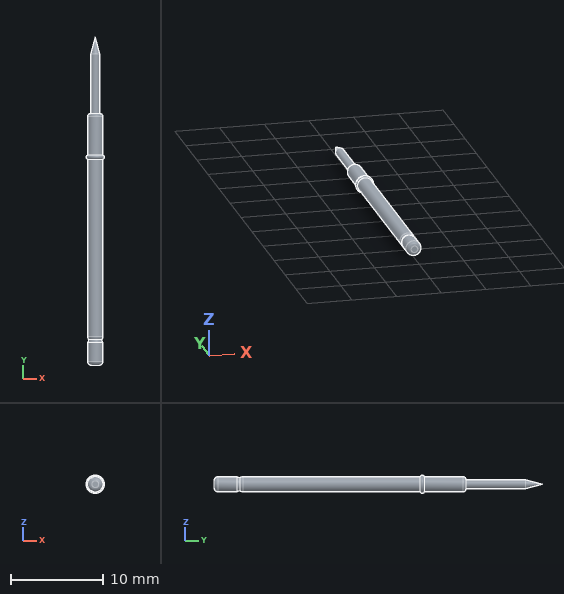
import cadquery as cq
import math

total_length = 35.7

barrel_radius = 0.84
barrel_length = 27.38
rear_fillet = 0.45
front_fillet = 0.32

groove_rear = 2.5
groove_bottom = 2.82
groove_front = 3.15
groove_depth = 0.1

ring_position = 22.65
ring_radius = 1.0
ring_bead_radius = 0.25

plunger_radius = 0.5
point_length = 1.85
overlap = 0.7


def sagitta_arc_middle(chord_length, rise):
    """Offsets, along and across the axis from the tangent point, of the middle of a
    circular arc that starts parallel to the axis and reaches (chord_length, rise)."""
    radius = (chord_length**2 + rise**2) / (2 * rise)
    half_angle = math.asin(chord_length / radius) / 2
    return radius * math.sin(half_angle), radius * (1 - math.cos(half_angle))


def revolve_about_y(profile):
    return profile.close().revolve(360, (0, 0, 0), (0, 1, 0))


def make_barrel():
    barrel = cq.Workplane("XZ").circle(barrel_radius).extrude(-barrel_length)
    barrel = barrel.faces("<Y").edges().fillet(rear_fillet)
    return barrel.faces(">Y").edges().fillet(front_fillet)


def make_groove_cutter():
    bottom_radius = barrel_radius - groove_depth
    rear_along, rear_across = sagitta_arc_middle(groove_bottom - groove_rear, groove_depth)
    front_along, front_across = sagitta_arc_middle(groove_front - groove_bottom, groove_depth)
    profile = (
        cq.Workplane("XY")
        .moveTo(barrel_radius, groove_front)
        .threePointArc(
            (barrel_radius - front_across, groove_front - front_along),
            (bottom_radius, groove_bottom),
        )
        .threePointArc(
            (bottom_radius + rear_across, groove_bottom - rear_along),
            (barrel_radius, groove_rear),
        )
        .lineTo(ring_radius, groove_rear)
        .lineTo(ring_radius, groove_front)
    )
    return revolve_about_y(profile)


def make_ring():
    bead_center = ring_radius - ring_bead_radius
    profile = (
        cq.Workplane("XY")
        .moveTo(bead_center, ring_position - ring_bead_radius)
        .threePointArc(
            (ring_radius, ring_position),
            (bead_center, ring_position + ring_bead_radius),
        )
    )
    return revolve_about_y(profile)


def make_plunger():
    plunger_start = barrel_length - overlap
    profile = (
        cq.Workplane("XY")
        .moveTo(0, plunger_start)
        .lineTo(plunger_radius, plunger_start)
        .lineTo(plunger_radius, total_length - point_length)
        .lineTo(0, total_length)
    )
    return revolve_about_y(profile)


result = make_barrel().cut(make_groove_cutter()).union(make_ring()).union(make_plunger())